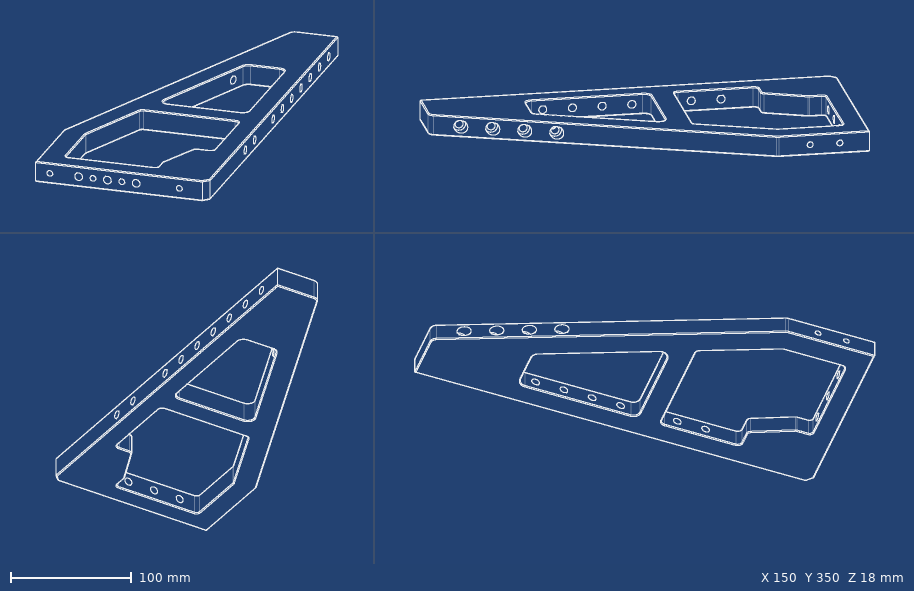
import cadquery as cq
import math

length = 350.0
width = 150.0
thickness = 18.0
mid_height = thickness / 2
edge_chamfer = 0.85

left_edge_height = 77.5
top_edge_width = 40.0
top_corner_radius = 6.0
kink_radius = 6.0
corner_chamfer = 5.2
slope = (width - top_edge_width) / (length - left_edge_height)

rail = 20.0
right_rail = 18.0
bottom_rail = 18.2
crossbar_bottom = 140.0
crossbar_top = crossbar_bottom + rail
upper_window_top = 265.3
upper_window_radius = 6.0
lower_window_radius = 3.0
lower_window_right_radius = 4.0
window_right = width - right_rail

block_left = 100.0
block_step_x = 116.0
block_step_y = 32.2
block_top = 69.3

hole_pitch = length / 14
half_pitch = hole_pitch / 2
bolt_diameter = 6.5
bolt_head_diameter = 11.0
bolt_head_depth = 7.7
bolt_rows_from_top = (1, 2, 3, 4)
plain_rows_from_top = (5, 6, 7, 9, 10)
through_diameter = 6.5
through_columns = (3, 5, 7)
tapped_diameter = 5.0
tapped_depth = 12.0
drill_tip_angle = 118.0
tapped_columns = (1, 4, 6, 10)
tapped_rows = (1, 2)


def slanted_edge_x(y):
    """X of the slanted outer edge at height y."""
    return (y - left_edge_height) * slope


def slanted_window_x(y):
    """X of the window side that runs parallel to the slanted edge, one rail inside it."""
    return slanted_edge_x(y) + rail * math.hypot(1, slope)


def prism(points):
    """Block with the given outline, as thick as the plate."""
    return cq.Workplane("XY").polyline(points).close().extrude(thickness)


def round_corner(body, x, y, radius):
    """Fillet the vertical edge that stands at (x, y)."""
    return body.edges(cq.selectors.NearestToPointSelector((x, y, mid_height))).fillet(radius)


def make_plate():
    """Solid plate with its outer outline."""
    top_left_x = width - top_edge_width
    plate = prism([
        (0, 0),
        (width - corner_chamfer, 0),
        (width, corner_chamfer),
        (width, length),
        (top_left_x, length),
        (0, left_edge_height),
    ])
    plate = round_corner(plate, top_left_x, length, top_corner_radius)
    return round_corner(plate, 0, left_edge_height, kink_radius)


def make_upper_window():
    """Cutting block for the window above the crossbar."""
    window = prism([
        (slanted_window_x(crossbar_top), crossbar_top),
        (window_right, crossbar_top),
        (window_right, upper_window_top),
        (slanted_window_x(upper_window_top), upper_window_top),
    ])
    return window.edges("|Z").fillet(upper_window_radius)


def make_lower_window():
    """Cutting block for the window below the crossbar, stepped around the corner block."""
    kink_y = left_edge_height + (rail - rail * math.hypot(1, slope)) / slope
    left_corners = [
        (slanted_window_x(crossbar_bottom), crossbar_bottom),
        (rail, kink_y),
        (rail, bottom_rail),
        (block_left, bottom_rail),
        (block_left, block_step_y),
    ]
    right_corners = [
        (block_step_x, block_top),
        (window_right, block_top),
        (window_right, crossbar_bottom),
    ]
    window = prism(left_corners + right_corners)
    for x, y in left_corners:
        window = round_corner(window, x, y, lower_window_radius)
    for x, y in right_corners:
        window = round_corner(window, x, y, lower_window_right_radius)
    return window


def rod_x(start_x, y, diameter, depth):
    """Cylinder along +X at mid thickness."""
    return cq.Workplane("YZ", origin=(start_x, y, mid_height)).circle(diameter / 2).extrude(depth)


def tapped_hole(origin, direction):
    """Blind hole with a drill point."""
    radius = tapped_diameter / 2
    tip = radius / math.tan(math.radians(drill_tip_angle / 2))
    start = cq.Vector(*origin)
    axis = cq.Vector(*direction)
    shank = cq.Solid.makeCylinder(radius, tapped_depth, start, axis)
    point = cq.Solid.makeCone(radius, 0, tip, start + axis * tapped_depth, axis)
    return cq.Workplane(shank.fuse(point))


def cut_side_holes(body):
    """Holes along X: counterbored bolts, plain holes in the right rail, tapped holes on the left."""
    for row in bolt_rows_from_top:
        y = length - row * hole_pitch
        floor_x = slanted_edge_x(y) + bolt_head_depth
        body = body.cut(rod_x(0, y, bolt_head_diameter, floor_x))
        body = body.cut(rod_x(0, y, bolt_diameter, width))
    for row in plain_rows_from_top:
        y = length - row * hole_pitch
        body = body.cut(rod_x(window_right, y, bolt_diameter, right_rail))
    for row in tapped_rows:
        body = body.cut(tapped_hole((0, row * hole_pitch, mid_height), (1, 0, 0)))
    return body


def cut_bottom_holes(body):
    """Holes along Y from the bottom edge: plain ones into the window, tapped ones blind."""
    for column in through_columns:
        start = cq.Vector(column * half_pitch, 0, mid_height)
        hole = cq.Solid.makeCylinder(through_diameter / 2, bottom_rail + half_pitch, start, cq.Vector(0, 1, 0))
        body = body.cut(cq.Workplane(hole))
    for column in tapped_columns:
        body = body.cut(tapped_hole((column * half_pitch, 0, mid_height), (0, 1, 0)))
    return body


frame = make_plate().cut(make_upper_window()).cut(make_lower_window())
frame = frame.faces("<Z or >Z").edges().chamfer(edge_chamfer)
result = cut_bottom_holes(cut_side_holes(frame))